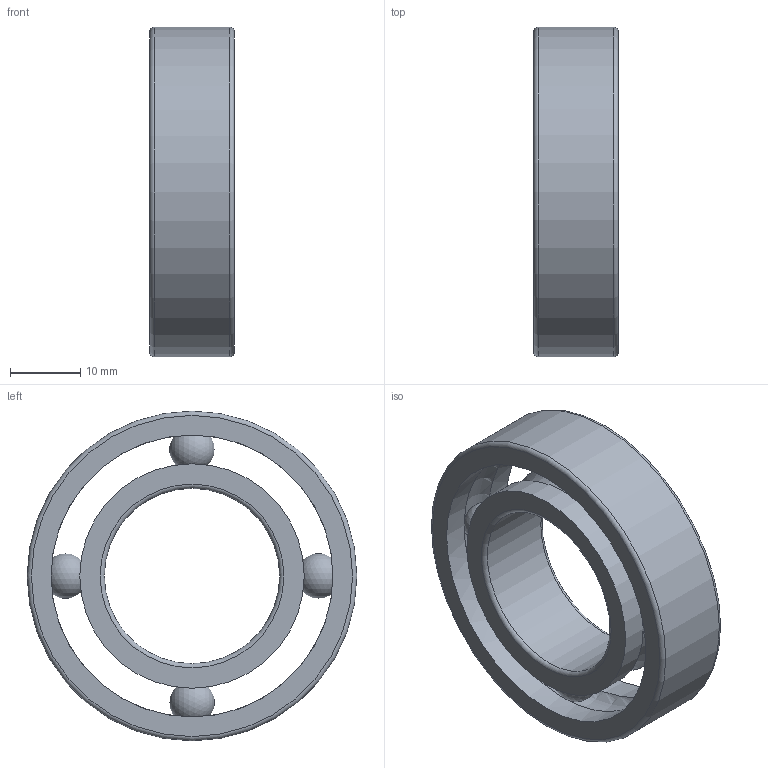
import cadquery as cq

BORE_DIAMETER = 25.0
OUTER_DIAMETER = 47.0
WIDTH = 12.0
INNER_SHOULDER_DIAMETER = 32.0
OUTER_SHOULDER_DIAMETER = 40.2
EDGE_RADIUS = 0.6
BALL_DIAMETER = 6.4
BALL_COUNT = 4

PITCH_RADIUS = (INNER_SHOULDER_DIAMETER + OUTER_SHOULDER_DIAMETER) / 4
BALL_RADIUS = BALL_DIAMETER / 2
BALL_SPACING = 360.0 / BALL_COUNT

X_AXIS_START = (0, 0, 0)
X_AXIS_END = (1, 0, 0)


def plain_ring(inside_diameter, outside_diameter):
    """Square-edged ring around the X axis."""
    return (
        cq.Workplane("YZ", origin=(-WIDTH / 2, 0, 0))
        .circle(outside_diameter / 2)
        .circle(inside_diameter / 2)
        .extrude(WIDTH)
    )


def raceway_cutter():
    """Torus swept by a ball travelling once around the X axis."""
    return (
        cq.Workplane("XY")
        .center(0, PITCH_RADIUS)
        .circle(BALL_RADIUS)
        .revolve(360, (0, -PITCH_RADIUS), (1, -PITCH_RADIUS))
    )


def make_inner_ring():
    """Ring with rounded bore edges and a raceway on its outside."""
    ring = plain_ring(BORE_DIAMETER, INNER_SHOULDER_DIAMETER)
    bore_edges = cq.selectors.RadiusNthSelector(0)
    return ring.edges("%CIRCLE").edges(bore_edges).fillet(EDGE_RADIUS).cut(raceway_cutter())


def make_outer_ring():
    """Ring with rounded outside edges and a raceway on its inside."""
    ring = plain_ring(OUTER_SHOULDER_DIAMETER, OUTER_DIAMETER)
    rim_edges = cq.selectors.RadiusNthSelector(-1)
    return ring.edges("%CIRCLE").edges(rim_edges).fillet(EDGE_RADIUS).cut(raceway_cutter())


def make_ball(angle):
    """Ball on the pitch circle, turned about X by an angle in degrees from +Y."""
    ball = cq.Workplane("XY").sphere(BALL_RADIUS).translate((0, PITCH_RADIUS, 0))
    return ball.rotate(X_AXIS_START, X_AXIS_END, angle)


inner_ring = make_inner_ring()
outer_ring = make_outer_ring()
balls = [make_ball(index * BALL_SPACING) for index in range(BALL_COUNT)]

result = cq.Compound.makeCompound(
    [inner_ring.val(), outer_ring.val(), *[ball.val() for ball in balls]]
)